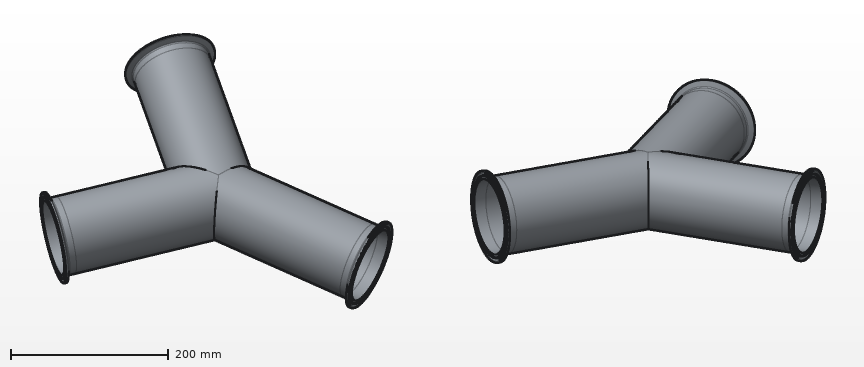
import cadquery as cq
import math


tube_diameter = 101.6
bore_diameter = 97.38
leg_length = 219.08
leg_angles = (0, 135, 225)

ferrule_length = 15.875
flange_diameter = 118.92
rim_thickness = 2.87
back_taper = math.radians(20)
neck_fillet = 1.8
rim_round = 0.381

groove_diameter = 110.3
groove_radius = 1.7
groove_depth = 1.6
lip_radius = 0.6

tube_radius = tube_diameter / 2
bore_radius = bore_diameter / 2
flange_radius = flange_diameter / 2
seam_x = leg_length - ferrule_length


def revolve_about_leg(profile):
    """Turn a closed XY profile about the leg axis, which runs along X."""
    return profile.revolve(360, (0, 0, 0), (1, 0, 0))


def ferrule():
    """Solid outside of the ferrule of the +X leg, from the weld seam to the face."""
    rim_back_x = leg_length - rim_thickness
    neck_x = rim_back_x - (flange_radius - tube_radius) * math.tan(back_taper)

    reach_per_radius = math.tan((math.pi / 2 - back_taper) / 2)
    taper_dx = math.sin(back_taper)
    taper_dy = math.cos(back_taper)
    neck_reach = neck_fillet * reach_per_radius
    rim_reach = rim_round * reach_per_radius

    profile = (
        cq.Workplane("XY")
        .moveTo(seam_x, 0)
        .lineTo(seam_x, tube_radius)
        .lineTo(neck_x - neck_reach, tube_radius)
        .tangentArcPoint(
            (neck_x + neck_reach * taper_dx, tube_radius + neck_reach * taper_dy), relative=False
        )
        .lineTo(rim_back_x - rim_reach * taper_dx, flange_radius - rim_reach * taper_dy)
        .tangentArcPoint((rim_back_x + rim_reach, flange_radius), relative=False)
        .lineTo(leg_length - rim_round, flange_radius)
        .tangentArcPoint((leg_length, flange_radius - rim_round), relative=False)
        .lineTo(leg_length, 0)
        .close()
    )
    return revolve_about_leg(profile)


def gasket_groove():
    """Ring that cuts the groove and its rounded lips out of the +X ferrule face."""
    middle = groove_diameter / 2
    arc_center_x = leg_length + groove_radius - groove_depth
    lip_center_x = leg_length - lip_radius
    center_distance = groove_radius + lip_radius
    lip_offset = math.sqrt(center_distance**2 - (arc_center_x - lip_center_x) ** 2)

    touch_fraction = groove_radius / center_distance
    touch_x = arc_center_x + (lip_center_x - arc_center_x) * touch_fraction
    touch_offset = lip_offset * touch_fraction

    profile = (
        cq.Workplane("XY")
        .moveTo(leg_length, middle + lip_offset)
        .lineTo(leg_length, middle - lip_offset)
        .tangentArcPoint((touch_x, middle - touch_offset), relative=False)
        .threePointArc((leg_length - groove_depth, middle), (touch_x, middle + touch_offset))
        .tangentArcPoint((leg_length, middle + lip_offset), relative=False)
        .close()
    )
    return revolve_about_leg(profile)


def cylinder(radius, start_x, end_x):
    """Cylinder about the X axis between two positions."""
    return cq.Workplane("YZ", origin=(start_x, 0, 0)).circle(radius).extrude(end_x - start_x)




def leg_outer():
    """Solid outside of the +X leg: tube and grooved ferrule, joined at the weld seam."""
    grooved_ferrule = ferrule().cut(gasket_groove(), clean=False)
    return cylinder(tube_radius, 0, seam_x).union(grooved_ferrule, clean=False)


def leg_bore():
    """Bore of the +X leg, divided at the weld seam into a tube part and a ferrule part."""
    tube_bore = cylinder(bore_radius, 0, seam_x)
    return tube_bore.union(cylinder(bore_radius, seam_x, leg_length), clean=False)


def on_every_leg(shape):
    """Copies of a shape made along +X, turned to each leg and joined."""
    turned = [shape.rotate((0, 0, 0), (0, 0, 1), angle) for angle in leg_angles]
    joined = turned[0]
    for copy in turned[1:]:
        joined = joined.union(copy, clean=False)
    return joined


result = on_every_leg(leg_outer()).cut(on_every_leg(leg_bore()), clean=False)